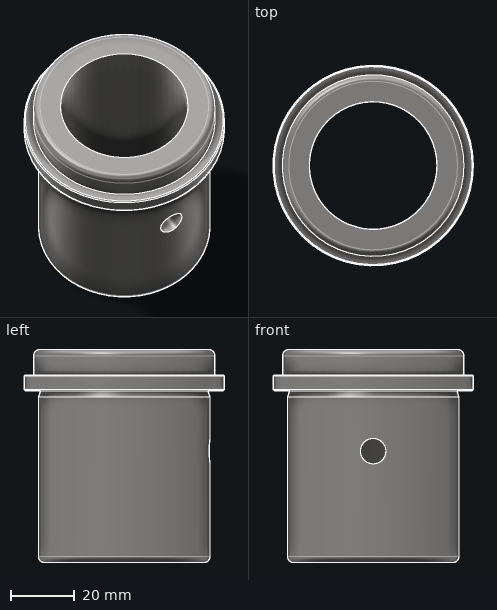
import cadquery as cq

height = 67.0
bore_diameter = 40.0
body_diameter = 54.0
head_diameter = 57.0
flange_diameter = 63.0
head_height = 8.0
flange_thickness = 5.0
edge_radius = 2.0
flange_chamfer = 0.4
neck_height = 2.0
neck_inset = 0.7
hole_diameter = 8.0
hole_height = 35.05

flange_top = height - head_height
flange_bottom = flange_top - flange_thickness
body_top = flange_bottom - neck_height
body_radius = body_diameter / 2


def cylinder(diameter, bottom, top):
    """Upright cylinder on the Z axis."""
    return cq.Workplane("XY").workplane(offset=bottom).circle(diameter / 2).extrude(top - bottom)


body = cylinder(body_diameter, 0, body_top).faces("<Z").edges().fillet(edge_radius)

neck = (
    cq.Workplane("XZ")
    .moveTo(0, body_top)
    .lineTo(body_radius, body_top)
    .lineTo(body_radius - neck_inset, flange_bottom)
    .lineTo(0, flange_bottom)
    .close()
    .revolve(360, (0, 0, 0), (0, 1, 0))
)

flange = cylinder(flange_diameter, flange_bottom, flange_top).edges().chamfer(flange_chamfer)

head = cylinder(head_diameter, flange_top, height).faces(">Z").edges().fillet(edge_radius)

bore = cylinder(bore_diameter, 0, height)

radial_hole = (
    cq.Workplane("XZ")
    .center(0, hole_height)
    .circle(hole_diameter / 2)
    .extrude(body_diameter)
)

result = body.union(neck).union(flange).union(head).cut(bore).cut(radial_hole)